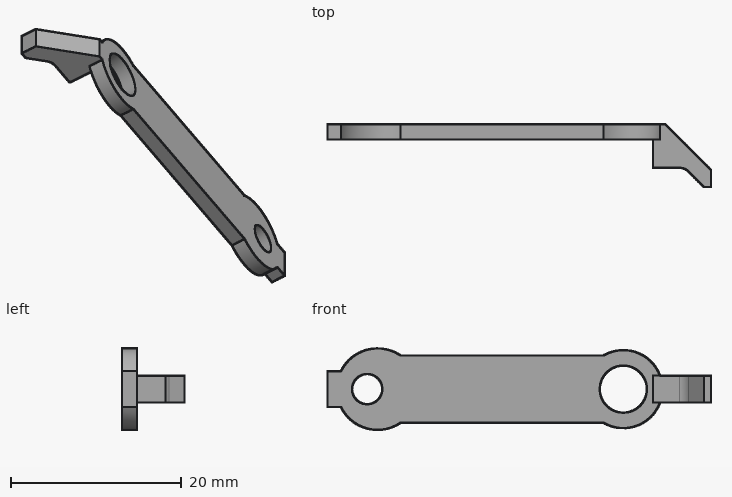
import cadquery as cq
import math

length = 45
depth = 7.4

plate_thickness = 1.8
bar_half_width = 3.95

left_eye_x = 5.9
left_eye_diameter = 9.6
left_hole_x = 4.7
left_hole_diameter = 3.5
right_eye_x = 34.7
right_eye_diameter = 9.2
right_hole_diameter = 5.5

tab_width = 4.25

hook_width = 3.15
hook_start_x = 38.15
hook_slope_start_x = 39.6
hook_heel_depth = 5.15
hook_tip_width = 0.85
hook_bend_radius = 1.5


def plate_box(start_x, end_x, width):
    """Plate-thick bar centred on Z = 0."""
    return cq.Workplane("XY").box(
        end_x - start_x, plate_thickness, width, centered=(False, False, True)
    ).translate((start_x, -plate_thickness, 0))


def plate_disc(center_x, diameter):
    """Plate-thick disc with its axis along Y."""
    return cq.Workplane("XZ").center(center_x, 0).circle(diameter / 2).extrude(plate_thickness)


def hook():
    """Hook that leans forward at 45 degrees, with a rounded bend under its heel."""
    slope_end_y = -(length - hook_slope_start_x)
    tip_x = length - hook_tip_width
    heel_corner_x = tip_x - (depth - hook_heel_depth)
    tangent_length = hook_bend_radius * math.tan(math.radians(22.5))
    bend_start = (heel_corner_x - tangent_length, -hook_heel_depth)
    diagonal_step = tangent_length * math.sqrt(0.5)
    bend_end = (heel_corner_x + diagonal_step, -hook_heel_depth - diagonal_step)
    return (
        cq.Workplane("XY", origin=(0, 0, -hook_width / 2))
        .moveTo(hook_start_x, 0)
        .lineTo(hook_slope_start_x, 0)
        .lineTo(length, slope_end_y)
        .lineTo(length, -depth)
        .lineTo(tip_x, -depth)
        .lineTo(*bend_end)
        .tangentArcPoint(bend_start, relative=False)
        .lineTo(hook_start_x, -hook_heel_depth)
        .close()
        .extrude(hook_width)
    )


plate = (
    plate_box(left_eye_x, right_eye_x, 2 * bar_half_width)
    .union(plate_disc(left_eye_x, left_eye_diameter))
    .union(plate_disc(right_eye_x, right_eye_diameter))
    .union(plate_box(0, left_eye_x, tab_width))
)

result = (
    plate
    .union(hook())
    .cut(plate_disc(left_hole_x, left_hole_diameter))
    .cut(plate_disc(right_eye_x, right_hole_diameter))
    .translate((-length / 2, 0, 0))
)